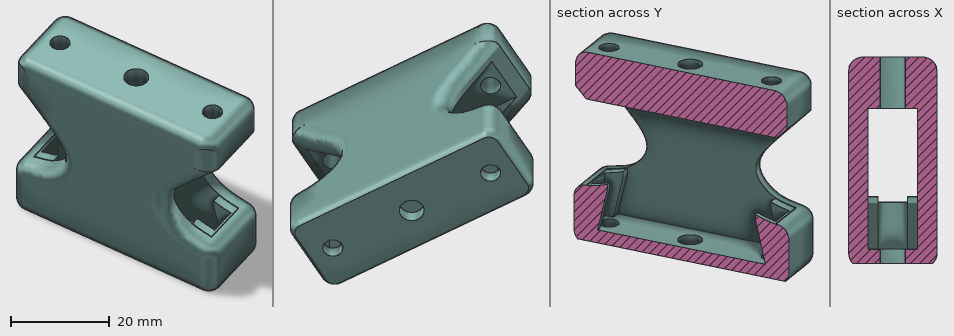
import cadquery as cq
import math

base_half_width = 24.5
head_half_width = 24.1
depth = 18.0
height = 42.0

corner_radius = 3.0
edge_radius = 2.95
base_cut = 0.85

head_bottom = 33.95
waist_half_width = 12.45
waist_height = 18.75
flank_half_width = 16.5
upper_flank_height = 26.1
lower_flank_height = 13.9
sill_center_height = 9.4
sill_slope = math.radians(15)

window_width = 10.0
window_bottom = 14.0
window_top = 31.45
cavity_floor = 3.0
cavity_half_length = 16.8
taper_top = 12.25
taper_run = 2.2
recess_depth = 0.15
recess_half_length = 21.5
slot_width = 6.0
slot_half_length = 20.95

center_hole_diameter = 5.0
side_hole_diameter = 4.0
side_hole_offset = 18.45


def corner_arc(wire, center, start_angle, end_angle):
    """Continue a wire with a corner arc, angles in degrees from +X."""
    def on_arc(angle):
        turn = math.radians(angle)
        return (
            center[0] + corner_radius * math.cos(turn),
            center[1] + corner_radius * math.sin(turn),
        )

    return wire.threePointArc(on_arc((start_angle + end_angle) / 2), on_arc(end_angle))


def waist_curve(wire):
    """Continue a wire from the head down around the waist to the end of the sill."""
    sill_end = (
        -base_half_width + corner_radius - corner_radius * math.sin(sill_slope),
        sill_center_height + corner_radius * math.cos(sill_slope),
    )
    return wire.spline(
        [
            (-flank_half_width, upper_flank_height),
            (-waist_half_width, waist_height),
            (-flank_half_width, lower_flank_height),
            sill_end,
        ],
        tangents=[(1, -1), (-math.cos(sill_slope), -math.sin(sill_slope))],
        includeCurrent=True,
    )


def half_body():
    """Left half of the hourglass, rounded along its front and back outlines."""
    base_center_x = -base_half_width + corner_radius
    head_center = (-head_half_width + corner_radius, height - corner_radius)
    sill_end_angle = 90 + math.degrees(sill_slope)

    outline = cq.Workplane("XZ").moveTo(0, height).lineTo(head_center[0], height)
    outline = corner_arc(outline, head_center, 90, 180)
    outline = outline.lineTo(-head_half_width, head_bottom)
    outline = waist_curve(outline)
    outline = corner_arc(outline, (base_center_x, sill_center_height), sill_end_angle, 180)
    outline = outline.lineTo(-base_half_width, corner_radius - base_cut)
    outline = corner_arc(outline, (base_center_x, corner_radius - base_cut), 180, 270)
    outline = outline.lineTo(0, -base_cut).close()

    body = outline.extrude(depth / 2, both=True)
    return body.faces("|Y").edges("not(>X)").fillet(edge_radius)


def head_corner_trim():
    """Material outside the near-elliptical corners that carry the 45 degree flank rounding up the head."""
    ellipse_length = edge_radius * math.sqrt(2)
    tangent_x = -head_half_width + ellipse_length
    tangent_y = -depth / 2 + edge_radius
    arc_middle = (
        tangent_x - ellipse_length * math.sqrt(0.5),
        tangent_y - edge_radius * math.sqrt(0.5),
    )
    front = (
        cq.Workplane("XY", origin=(0, 0, head_bottom))
        .moveTo(-head_half_width, tangent_y)
        .spline(
            [arc_middle, (tangent_x, -depth / 2)],
            tangents=[(0, -1), (1, 0)],
            includeCurrent=True,
        )
        .lineTo(tangent_x, -depth)
        .lineTo(-base_half_width, -depth)
        .lineTo(-base_half_width, tangent_y)
        .close()
        .extrude(height - head_bottom)
    )
    return front.union(front.mirror("XZ"))


def full_body():
    left = half_body().cut(head_corner_trim())
    body = left.union(left.mirror("YZ"))
    below_base = cq.Workplane("XY").rect(3 * base_half_width, 2 * depth).extrude(-2 * base_cut)
    return body.cut(below_base)


def cavity():
    """Main chamber, its ends leaning outward below the sills."""
    outline = [
        (cavity_half_length, window_top),
        (cavity_half_length, taper_top),
        (cavity_half_length + taper_run, cavity_floor),
    ]
    mirrored = [(-x, z) for x, z in reversed(outline)]
    return cq.Workplane("XZ").polyline(outline + mirrored).close().extrude(window_width / 2, both=True)


def window():
    """Opening that joins the chamber to both waist recesses."""
    return (
        cq.Workplane("XY", origin=(0, 0, window_bottom))
        .rect(2 * base_half_width, window_width)
        .extrude(window_top - window_bottom)
    )


def sill_recess():
    """Shallow step that sinks the sills slightly inside the window width."""
    waist = waist_curve(cq.Workplane("XZ").moveTo(-head_half_width, head_bottom)).close()
    lowered = waist.extrude(window_width / 2, both=True).translate((0, 0, -recess_depth))
    recess_area = cq.Workplane("XY").rect(2 * recess_half_length, window_width).extrude(waist_height)
    left = lowered.intersect(recess_area)
    return left.union(left.mirror("YZ"))


def slot():
    """Narrow slot reaching over the side holes, leaving a rail on each side."""
    return (
        cq.Workplane("XY", origin=(0, 0, cavity_floor))
        .rect(2 * slot_half_length, slot_width)
        .extrude(waist_height - cavity_floor)
    )


def vertical_holes():
    holes = cq.Workplane("XY").circle(center_hole_diameter / 2).extrude(height)
    side_holes = (
        cq.Workplane("XY")
        .pushPoints([(-side_hole_offset, 0), (side_hole_offset, 0)])
        .circle(side_hole_diameter / 2)
        .extrude(height)
    )
    return holes.union(side_holes)


result = full_body()
for void in (cavity(), window(), sill_recess(), slot(), vertical_holes()):
    result = result.cut(void)